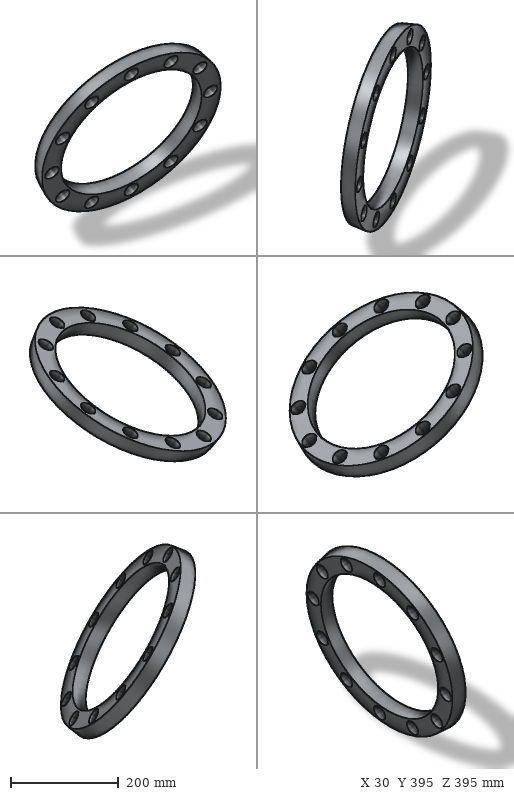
import cadquery as cq
import math

outer_diameter = 395.0
thickness = 30.0
bore_diameter = 310.0
rim_taper_deg = 8.0

hole_count = 12
hole_diameter = 30.0
bolt_circle_diameter = 350.0


def tapered_ring():
    """Ring whose rim narrows toward the -X face."""
    bore_radius = bore_diameter / 2
    large_radius = outer_diameter / 2
    small_radius = large_radius - thickness * math.tan(math.radians(rim_taper_deg))
    section = [
        (0, bore_radius),
        (0, small_radius),
        (thickness, large_radius),
        (thickness, bore_radius),
    ]
    return cq.Workplane("XY").polyline(section).close().revolve(360, (0, 0, 0), (1, 0, 0))


def bolt_holes():
    """Through holes evenly spaced on the bolt circle, starting on the Y axis."""
    return (
        cq.Workplane("YZ")
        .polarArray(bolt_circle_diameter / 2, 0, 360, hole_count)
        .circle(hole_diameter / 2)
        .extrude(thickness)
    )


result = tapered_ring().cut(bolt_holes())